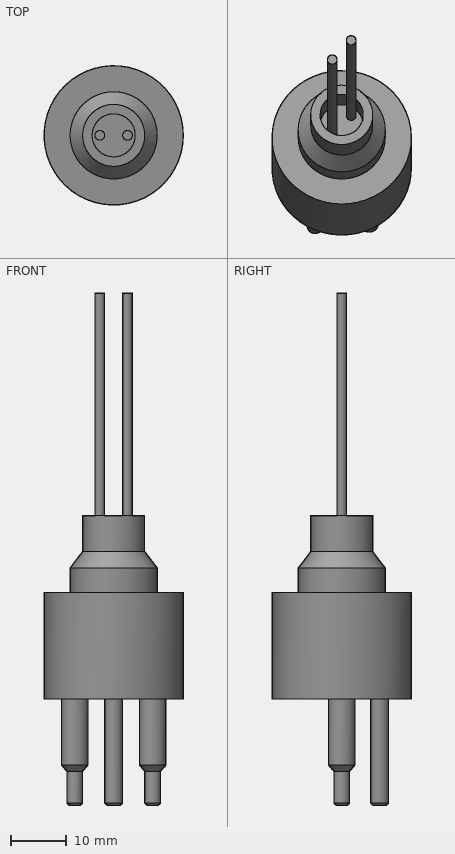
import cadquery as cq

total_height = 92.0
body_diameter = 25.0
body_height = 19.1
shoulder_diameter = 15.6
shoulder_height = 4.4
cone_height = 2.9
collar_diameter = 11.1
collar_height = 6.4
bore_diameter = 7.7
bore_depth = collar_height

lead_diameter = 1.75
lead_spacing = 5.0

pin_length = 19.1
stepped_pin_offset = 7.0
stepped_pin_diameter = 4.8
stepped_pin_tip_diameter = 2.85
stepped_pin_shank_length = 11.9
stepped_pin_taper_length = 1.1
straight_pin_diameter = 3.2
straight_pin_offset = 6.8
tip_chamfer = 0.5

shoulder_top = body_height + shoulder_height
cone_top = shoulder_top + cone_height
collar_top = cone_top + collar_height
bore_floor = collar_top - bore_depth
lead_top = total_height - pin_length


def revolve_profile(points):
    """Revolve a closed (radius, height) outline about the Z axis."""
    return cq.Workplane("XZ").polyline(points).close().revolve(360, (0, 0), (0, 1))


def make_body():
    """Stepped round body with a conical shoulder and an open collar."""
    return revolve_profile([
        (0, 0),
        (body_diameter / 2, 0),
        (body_diameter / 2, body_height),
        (shoulder_diameter / 2, body_height),
        (shoulder_diameter / 2, shoulder_top),
        (collar_diameter / 2, cone_top),
        (collar_diameter / 2, collar_top),
        (bore_diameter / 2, collar_top),
        (bore_diameter / 2, bore_floor),
        (0, bore_floor),
    ])


def make_lead(x):
    """Thin wire rising from the bore floor."""
    return (
        cq.Workplane("XY", origin=(x, 0, bore_floor))
        .circle(lead_diameter / 2)
        .extrude(lead_top - bore_floor)
    )


def make_stepped_pin():
    """Thick shank tapering to a thin, chamfered tip."""
    shank_radius = stepped_pin_diameter / 2
    tip_radius = stepped_pin_tip_diameter / 2
    taper_end = -stepped_pin_shank_length - stepped_pin_taper_length
    return revolve_profile([
        (0, 0),
        (shank_radius, 0),
        (shank_radius, -stepped_pin_shank_length),
        (tip_radius, taper_end),
        (tip_radius, tip_chamfer - pin_length),
        (tip_radius - tip_chamfer, -pin_length),
        (0, -pin_length),
    ])


def make_straight_pin():
    """Plain pin with a chamfered tip."""
    return (
        cq.Workplane("XY")
        .circle(straight_pin_diameter / 2)
        .extrude(-pin_length)
        .faces("<Z")
        .chamfer(tip_chamfer)
    )


result = make_body()
for side in (-1, 1):
    result = result.union(make_lead(side * lead_spacing / 2))
    result = result.union(make_stepped_pin().translate((side * stepped_pin_offset, 0, 0)))
result = result.union(make_straight_pin().translate((0, straight_pin_offset, 0)))